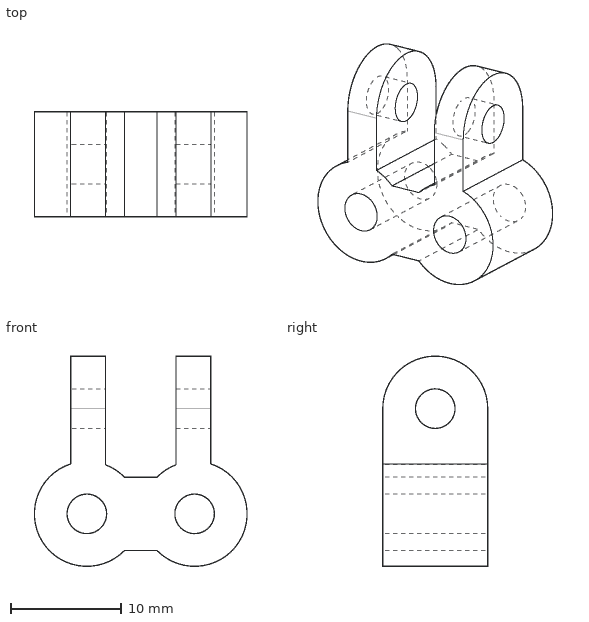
import cadquery as cq

thickness = 9.525
barrel_spacing = 9.755
lug_rise = 9.525
lug_width = 3.175
lug_gap = 6.35
hole_diameter = 3.56
web_height = 6.65

end_radius = thickness / 2
barrel_x = barrel_spacing / 2
lug_center_x = (lug_gap + lug_width) / 2
lug_span = lug_gap + 2 * lug_width


def cylinder_along_y(x, diameter):
    """Cylinder at barrel height, as long as the part is deep."""
    return (
        cq.Workplane("XZ", origin=(x, thickness / 2, 0))
        .circle(diameter / 2)
        .extrude(thickness)
    )


def cylinder_along_x(x, length, diameter):
    """Cylinder on the lug hole axis, centred at x."""
    return (
        cq.Workplane("YZ", origin=(x - length / 2, 0, lug_rise))
        .circle(diameter / 2)
        .extrude(length)
    )


def lug(x):
    """Upright plate with a round top, rooted on the barrel axis plane."""
    plate = cq.Workplane("XY").box(lug_width, thickness, lug_rise, centered=(True, True, False))
    round_top = cylinder_along_x(x, lug_width, 2 * end_radius)
    return plate.translate((x, 0, 0)).union(round_top)


body = cq.Workplane("XY").box(barrel_spacing, thickness, web_height)
for side in (-1, 1):
    body = body.union(cylinder_along_y(side * barrel_x, 2 * end_radius))
    body = body.union(lug(side * lug_center_x))

for side in (-1, 1):
    body = body.cut(cylinder_along_y(side * barrel_x, hole_diameter))
body = body.cut(cylinder_along_x(0, lug_span, hole_diameter))

result = body